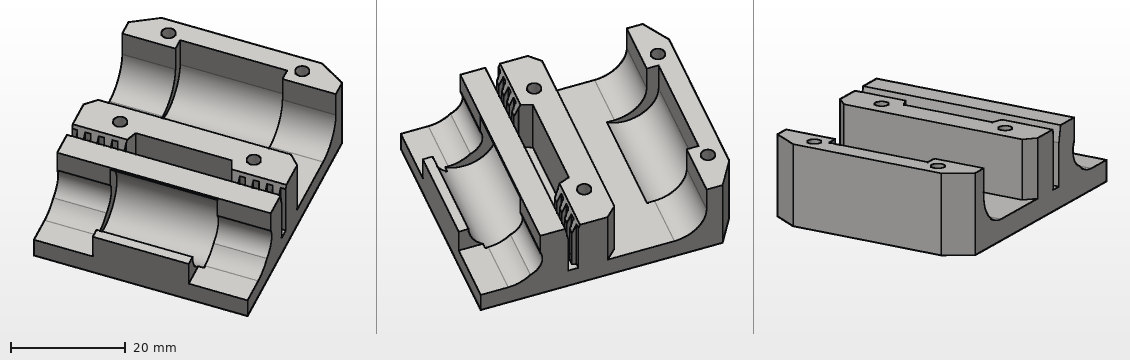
import cadquery as cq
import math

WIDTH = 40.0
DEPTH = 48.0
HEIGHT = 15.15
FLOOR = 4.0

CLAMP_FRONT = 11.05
MID_REAR = 25.55
REAR_WALL_FRONT = 41.95
MID_CHAMFER = 1.95
REAR_CHAMFER_X = 5.0
REAR_CHAMFER_Y = 3.05

POCKET_RADIUS = 6.15
POCKET_LENGTH = 20.0
BORE_Z = 9.05
FRONT_BORE_Y = 7.95
REAR_BORE_Y = 38.0
SHAFT_RADIUS = 3.5
FILLET_RADIUS = 6.0
FRONT_FILLET_Y = 5.1
SADDLE_CREASE_Y = 9.2

LIP_LENGTH = 17.95
LIP_HEIGHT = 8.95

SLOT_FRONT = 16.25
SLOT_FRONT_TOP = 15.7
TOOTH_TIP_Y = 17.4
TOOTH_ROOT_Y = 18.15
SLOT_REAR_TOP = 18.45
SLOT_TAPER_Z = 12.15
TOOTH_PITCH = 2.55
TEETH_PER_SIDE = 4
OUTER_TOOTH_X = 18.3
TOOTH_TIP_WIDTH = 1.1
TOOTH_ROOT_WIDTH = 1.5

RECESS_REAR = 20.45
RECESS_REAR_LENGTH = 17.95
RECESS_TIP_LENGTH = 20.35

HOLE_DIAMETER = 2.5
HOLE_SPACING_X = 25.0
HOLE_ROWS_Y = (22.0, 45.0)


def prism_along_x(profile, length):
    """Extrude a (Y, Z) profile, centred on X = 0."""
    return profile.extrude(length).translate((-length / 2, 0, 0))


def box(length, y_min, y_max, z_min, z_max):
    """Box centred on X = 0."""
    size = (length, y_max - y_min, z_max - z_min)
    return cq.Workplane("XY").box(*size, centered=(True, False, False)).translate((0, y_min, z_min))


def circle_point(center_y, center_z, radius, degrees):
    """Point of a circle in the YZ plane, with the angle measured from +Y."""
    angle = math.radians(degrees)
    return (center_y + radius * math.cos(angle), center_z + radius * math.sin(angle))


def make_body():
    """Floor, front saddle, solid middle block and rear wall."""
    fillet_z = FLOOR + FILLET_RADIUS
    crease_angle = -math.degrees(math.acos((SADDLE_CREASE_Y - FRONT_FILLET_Y) / FILLET_RADIUS))
    crease = circle_point(FRONT_FILLET_Y, fillet_z, FILLET_RADIUS, crease_angle)
    front_mid = circle_point(FRONT_FILLET_Y, fillet_z, FILLET_RADIUS, (crease_angle - 90) / 2)
    shaft_side = circle_point(FRONT_BORE_Y, BORE_Z, SHAFT_RADIUS, 0)
    shaft_top_z = BORE_Z + math.sqrt(SHAFT_RADIUS**2 - (CLAMP_FRONT - FRONT_BORE_Y) ** 2)
    rear_fillet_y = REAR_WALL_FRONT - FILLET_RADIUS
    profile = (
        cq.Workplane("YZ")
        .moveTo(0, 0)
        .lineTo(0, FLOOR)
        .lineTo(FRONT_FILLET_Y, FLOOR)
        .threePointArc(front_mid, crease)
        .threePointArc(shaft_side, (CLAMP_FRONT, shaft_top_z))
        .lineTo(CLAMP_FRONT, HEIGHT)
        .lineTo(MID_REAR, HEIGHT)
        .lineTo(MID_REAR, FLOOR)
        .lineTo(rear_fillet_y, FLOOR)
        .threePointArc(
            circle_point(rear_fillet_y, fillet_z, FILLET_RADIUS, -45),
            (REAR_WALL_FRONT, fillet_z),
        )
        .lineTo(REAR_WALL_FRONT, HEIGHT)
        .lineTo(DEPTH, HEIGHT)
        .lineTo(DEPTH, 0)
        .close()
    )
    lip = box(LIP_LENGTH, 0, FRONT_BORE_Y, 0, LIP_HEIGHT)
    return prism_along_x(profile, WIDTH).union(lip)


def make_pocket(bore_y):
    """Cylinder that holds one bearing."""
    profile = cq.Workplane("YZ").center(bore_y, BORE_Z).circle(POCKET_RADIUS)
    return prism_along_x(profile, POCKET_LENGTH)


def make_front_pocket():
    """Bearing cylinder whose overhang ends in a 45 degree flat below the clamp top."""
    flat_start = circle_point(FRONT_BORE_Y, BORE_Z, POCKET_RADIUS, 45)
    flat_end = (CLAMP_FRONT, flat_start[1] + flat_start[0] - CLAMP_FRONT)
    flat = (
        cq.Workplane("YZ")
        .polyline([(FRONT_BORE_Y, BORE_Z), flat_start, flat_end, (FRONT_BORE_Y, flat_end[1])])
        .close()
    )
    return make_pocket(FRONT_BORE_Y).union(prism_along_x(flat, POCKET_LENGTH))


def make_rear_pocket():
    """Bearing cylinder that opens straight upwards."""
    opening = box(POCKET_LENGTH, REAR_BORE_Y, REAR_BORE_Y + POCKET_RADIUS, BORE_Z, HEIGHT)
    return make_pocket(REAR_BORE_Y).union(opening)


def make_tooth(center_x):
    """Trapezoidal tooth standing on the rear face of the slot."""
    half_tip = TOOTH_TIP_WIDTH / 2
    half_root = TOOTH_ROOT_WIDTH / 2
    outline = [
        (center_x - half_tip, TOOTH_TIP_Y),
        (center_x + half_tip, TOOTH_TIP_Y),
        (center_x + half_root, TOOTH_ROOT_Y),
        (center_x - half_root, TOOTH_ROOT_Y),
    ]
    return cq.Workplane("XY").polyline(outline).close().extrude(HEIGHT)


def make_belt_slot():
    """Flared slot plus the gaps between the belt teeth."""
    flared = (
        cq.Workplane("YZ")
        .polyline([
            (SLOT_FRONT, FLOOR),
            (SLOT_FRONT, SLOT_TAPER_Z),
            (SLOT_FRONT_TOP, HEIGHT),
            (SLOT_REAR_TOP, HEIGHT),
            (TOOTH_TIP_Y, SLOT_TAPER_Z),
            (TOOTH_TIP_Y, FLOOR),
        ])
        .close()
    )
    gaps = box(WIDTH, TOOTH_TIP_Y, TOOTH_ROOT_Y, FLOOR, HEIGHT)
    for index in range(TEETH_PER_SIDE):
        tooth_x = OUTER_TOOTH_X - index * TOOTH_PITCH
        gaps = gaps.cut(make_tooth(tooth_x)).cut(make_tooth(-tooth_x))
    return prism_along_x(flared, WIDTH).union(gaps)


def make_recess():
    """Tapered recess in the middle block, opening into the belt slot."""
    outline = [
        (-RECESS_TIP_LENGTH / 2, TOOTH_TIP_Y),
        (-RECESS_REAR_LENGTH / 2, RECESS_REAR),
        (RECESS_REAR_LENGTH / 2, RECESS_REAR),
        (RECESS_TIP_LENGTH / 2, TOOTH_TIP_Y),
    ]
    recess = cq.Workplane("XY").workplane(offset=FLOOR).polyline(outline).close()
    return recess.extrude(HEIGHT - FLOOR)


def make_corner(side, corner_y, size_x, size_y, z_min):
    """Triangular prism that bevels a vertical edge on one side (+1 or -1)."""
    edge_x = side * WIDTH / 2
    outline = [
        (edge_x, corner_y),
        (edge_x - side * size_x, corner_y),
        (edge_x, corner_y - size_y),
    ]
    corner = cq.Workplane("XY").workplane(offset=z_min).polyline(outline).close()
    return corner.extrude(HEIGHT - z_min)


def make_holes():
    """Four vertical through holes."""
    half_spacing = HOLE_SPACING_X / 2
    centers = [(x, y) for y in HOLE_ROWS_Y for x in (-half_spacing, half_spacing)]
    return cq.Workplane("XY").pushPoints(centers).circle(HOLE_DIAMETER / 2).extrude(HEIGHT)


result = make_body().cut(make_front_pocket()).cut(make_rear_pocket())
result = result.cut(make_belt_slot()).cut(make_recess()).cut(make_holes())
for side in (-1, 1):
    result = result.cut(make_corner(side, MID_REAR, MID_CHAMFER, MID_CHAMFER, FLOOR))
    result = result.cut(make_corner(side, DEPTH, REAR_CHAMFER_X, REAR_CHAMFER_Y, 0))